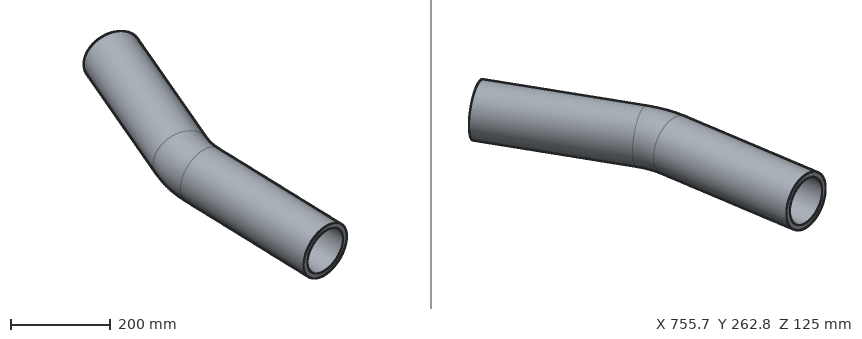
import cadquery as cq
import math

outer_diameter = 125.0
wall_thickness = 11.4
inner_diameter = outer_diameter - 2 * wall_thickness

bend_angle = 22.0
leg_to_corner = 380.0
bend_radius = 1.5 * outer_diameter

bend_tangent = bend_radius * math.tan(math.radians(bend_angle / 2))
leg_length = leg_to_corner - bend_tangent


def ring(workplane):
    """Annular pipe section centred on the given workplane."""
    return workplane.circle(outer_diameter / 2).circle(inner_diameter / 2)


def straight_leg():
    """Straight pipe along +X, ending where the bend begins at the origin."""
    return ring(cq.Workplane("YZ", origin=(-leg_length, 0, 0))).extrude(leg_length)


def bend():
    """Curved pipe from the origin, turning from +X towards +Y about a vertical axis."""
    return ring(cq.Workplane("YZ")).revolve(bend_angle, (bend_radius, 0, 0), (bend_radius, 1, 0))


def angled_leg():
    """Straight pipe continuing tangentially from the far end of the bend."""
    leg = ring(cq.Workplane("YZ")).extrude(leg_length)
    return leg.rotate((0, bend_radius, 0), (0, bend_radius, 1), bend_angle)


result = straight_leg().union(bend()).union(angled_leg())